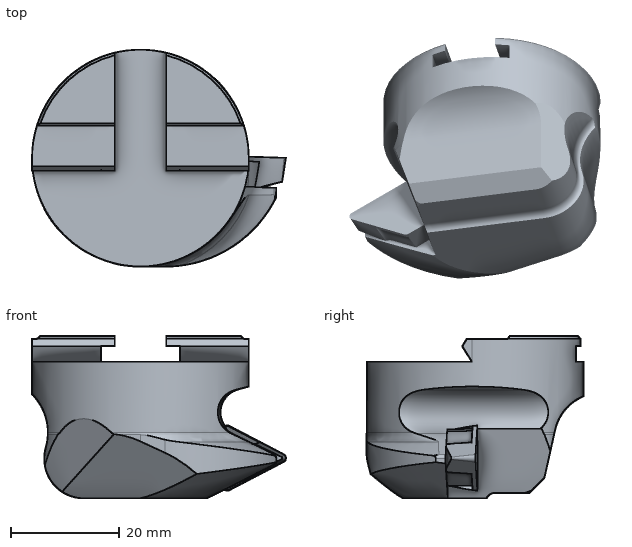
import cadquery as cq
import math

FAR = 70.3

disc_radius = 20.0
deck_z = 25.25
slab_z = 29.45
top_z = 30.0
rim_bevel = 0.45
slot_width = 9.45
slot_undercut_width = 14.55
slot_lip_z = 28.1
nose_foot_y = -0.65
nose_tip_y = -2.4
nose_tip_z = 28.05
nose_top_y = -1.55
raised_y = 6.4

flare_angle = 27.5
bottom_radius = 13.2
neck_fillet = 2.0
neck_z = 12.25
wall_radius = 20.05
fin_wall_radius = 22.85
fin_wall_start_x = 4.5

scoop_bulge_radius = 7.35
scoop_bulge_x = -10.4
scoop_hollow_radius = 10.07
scoop_turn_angle = 16.0
scoop_step = 1.0
scoop_step_y = 3.55
scoop_step_fillet = 1.5

rear_low_y = 10.07
rear_chamfer_y = 12.8
rear_chamfer_z = 3.8
rear_lean = 12.6
rear_arc_start_z = 12.65
rear_arc_radius = 8.75

FRONT_LEFT_FLAT = (-121.7, 16.9, 14.85)
FRONT_FLAT = (-106.6, 31.7, 10.82)
REAR_LEFT_FLAT = (131.5, 11.0, 16.5)

pocket_radius = 4.3
pocket_x = 18.85
pocket_z = 15.9
pocket_floor_angle = 26.4
pocket_roof_angle = 15.0
pocket_skew = 1.1
fin_end_x = 25.15
fin_nose_radius = 0.9
gullet_foot_x = 11.7

insert_tilt = 1.9
insert_tip_x = 26.85
insert_tip_y = 0.05
insert_center_x = 16.03
insert_z = 7.45
insert_half_angle = 27.5
insert_nose_radius = 0.8
insert_thickness = 5.58
insert_relief = 7.0
land_depth = 0.9
recess_depth = 1.05
recess_end = 6.5
recess_end_radius = 1.87
tip_bevel_length = 3.75
tip_bevel_depth = 1.1


def rad(angle):
    return math.radians(angle)


def polar(center, radius, angle):
    """Point at an angle in degrees on a circle in a 2D plane."""
    return (center[0] + radius * math.cos(rad(angle)), center[1] + radius * math.sin(rad(angle)))


def arc(center, radius, start, end):
    """Middle and end point of an arc between two angles, for threePointArc."""
    return polar(center, radius, (start + end) / 2), polar(center, radius, end)


def along_y(profile, start, end):
    """Extrude a wire drawn on an XZ workplane from y = start to y = end."""
    return profile.extrude(start - end).translate((0, start, 0))


def turned_blank():
    slope = math.tan(rad(flare_angle))
    fillet_center = (disc_radius + neck_fillet, neck_z)
    cone_start = polar(fillet_center, neck_fillet, 270 - flare_angle)
    rim_r = ((cone_start[1] / slope + cone_start[0]) + bottom_radius) / 2
    rim_z = slope * (rim_r - bottom_radius)
    return (
        cq.Workplane("XZ")
        .lineTo(bottom_radius, 0)
        .lineTo(rim_r, rim_z)
        .lineTo(*cone_start)
        .threePointArc(*arc(fillet_center, neck_fillet, 270 - flare_angle, 180))
        .lineTo(disc_radius, slab_z)
        .lineTo(disc_radius - rim_bevel, top_z)
        .lineTo(0, top_z)
        .close()
        .revolve(360, (0, 0, 0), (0, 1, 0))
    )


def outer_wall():
    """Upright wall that trims the flared skirt and leaves the fin standing out."""
    fin_center = (fin_wall_start_x, fin_wall_radius - wall_radius)
    return (
        cq.Workplane("XY")
        .moveTo(0, -wall_radius)
        .lineTo(fin_wall_start_x, -wall_radius)
        .threePointArc(*arc(fin_center, fin_wall_radius, -90, 0))
        .lineTo(wall_radius, 0)
        .threePointArc(*arc((0, 0), wall_radius, 0, 270))
        .close()
        .extrude(top_z)
    )


def unconed_base():
    """Straight-sided half of the skirt, away from the fin, where no lower cone is turned."""
    half = cq.Workplane("XY").rect(FAR, FAR).extrude(neck_z).translate((-FAR / 2, 0, 0))
    skirt_z = neck_z - math.sqrt(neck_fillet**2 - (disc_radius + neck_fillet - wall_radius) ** 2)
    return cq.Workplane("XY").circle(wall_radius).extrude(skirt_z).intersect(half)


def slab_front_cut():
    """Space in front of and above the slabs, without their nose."""
    return (
        cq.Workplane("YZ")
        .moveTo(-FAR, deck_z)
        .lineTo(nose_foot_y, deck_z)
        .lineTo(nose_foot_y, slab_z)
        .lineTo(raised_y - rim_bevel, slab_z)
        .lineTo(raised_y, top_z)
        .lineTo(raised_y, FAR)
        .lineTo(-FAR, FAR)
        .close()
        .extrude(FAR, both=True)
    )


def slab_nose():
    """V-shaped nose along the front of the slabs, with flat ends."""
    half_length = math.sqrt(disc_radius**2 - nose_foot_y**2)
    return (
        cq.Workplane("YZ")
        .moveTo(nose_foot_y, deck_z)
        .lineTo(nose_tip_y, nose_tip_z)
        .lineTo(nose_top_y, slab_z)
        .lineTo(nose_foot_y, slab_z)
        .close()
        .extrude(half_length, both=True)
    )


def t_slot():
    upper = cq.Workplane("XY", origin=(0, 0, deck_z)).rect(slot_width, FAR).extrude(FAR)
    lower = (
        cq.Workplane("XY", origin=(0, 0, deck_z))
        .rect(slot_undercut_width, FAR)
        .extrude(slot_lip_z - deck_z)
    )
    return upper.union(lower)


bulge_center = (scoop_bulge_x, scoop_bulge_radius)
hollow_center = polar(bulge_center, scoop_bulge_radius + scoop_hollow_radius, 180 - scoop_turn_angle)


def scoop_path(depth):
    """Open S-shaped outline of the scoop, set inwards by a depth."""
    bulge = scoop_bulge_radius - depth
    hollow = scoop_hollow_radius + depth
    return (
        cq.Workplane("XZ")
        .moveTo(*polar(hollow_center, hollow, 90))
        .threePointArc(*arc(hollow_center, hollow, 90, -scoop_turn_angle))
        .threePointArc(*arc(bulge_center, bulge, 180 - scoop_turn_angle, 270))
        .lineTo(FAR, depth)
    )


def scooped_region(depth):
    """Wire around everything kept inside the scoop outline."""
    return scoop_path(depth).lineTo(FAR, FAR).lineTo(hollow_center[0], FAR).close()


def scoop_envelope():
    fillet_drop = scoop_step_fillet - scoop_step
    fillet_width = math.sqrt(scoop_step_fillet**2 - fillet_drop**2)
    front = along_y(scooped_region(0), -FAR, scoop_step_y - fillet_width)
    envelope = front.union(along_y(scooped_region(scoop_step), -FAR, FAR))
    start_x = hollow_center[0]
    start_z = hollow_center[1] + scoop_hollow_radius
    fillet_center = (scoop_step_y, start_z - fillet_drop)
    fillet_end = 90 + math.degrees(math.acos(fillet_drop / scoop_step_fillet))
    section = (
        cq.Workplane("YZ", origin=(start_x, 0, 0))
        .moveTo(scoop_step_y, start_z + scoop_step)
        .threePointArc(*arc(fillet_center, scoop_step_fillet, 90, fillet_end))
        .lineTo(scoop_step_y - fillet_width, start_z + scoop_step)
        .close()
    )
    return envelope.union(section.sweep(scoop_path(0)))


def rear_relief():
    arc_start_y = rear_chamfer_y + (rear_arc_start_z - rear_chamfer_z) * math.tan(rad(rear_lean))
    arc_center = polar((arc_start_y, rear_arc_start_z), rear_arc_radius, -rear_lean)
    chamfer_foot_z = rear_chamfer_z - (rear_chamfer_y - rear_low_y)
    return (
        cq.Workplane("YZ")
        .moveTo(rear_low_y - chamfer_foot_z, 0)
        .lineTo(rear_chamfer_y, rear_chamfer_z)
        .lineTo(arc_start_y, rear_arc_start_z)
        .threePointArc(*arc(arc_center, rear_arc_radius, 180 - rear_lean, 90))
        .lineTo(FAR, arc_center[1] + rear_arc_radius)
        .lineTo(FAR, 0)
        .close()
        .extrude(FAR, both=True)
    )


def flat_cut(azimuth, tilt, distance):
    """Everything beyond a plane that faces outwards and down."""
    normal = cq.Vector(
        math.cos(rad(azimuth)) * math.cos(rad(tilt)),
        math.sin(rad(azimuth)) * math.cos(rad(tilt)),
        -math.sin(rad(tilt)),
    )
    plane = cq.Plane(origin=(normal * distance).toTuple(), normal=normal.toTuple())
    return cq.Workplane(plane).rect(FAR, FAR).extrude(FAR)


def chip_pocket():
    """Rounded flute above the fin, running on around the end of the fin."""
    center = (pocket_x, pocket_z)
    roof = polar(center, pocket_radius, 90 + pocket_roof_angle)
    floor = polar(center, pocket_radius, 270 - pocket_floor_angle)
    slope = math.tan(rad(pocket_floor_angle))
    corner_z = floor[1] - (fin_end_x - floor[0]) * slope
    nose_tangent = fin_nose_radius * math.tan(rad((90 - pocket_floor_angle) / 2))
    nose_start = polar((fin_end_x, corner_z), nose_tangent, 180 - pocket_floor_angle)
    nose_end_z = corner_z - nose_tangent
    nose_center = (fin_end_x - fin_nose_radius, nose_end_z)
    profile = (
        cq.Workplane("XZ")
        .moveTo(FAR, roof[1] + (FAR - roof[0]) * math.tan(rad(pocket_roof_angle)))
        .lineTo(*roof)
        .threePointArc(
            *arc(center, pocket_radius, 90 + pocket_roof_angle, 270 - pocket_floor_angle)
        )
        .lineTo(*nose_start)
        .threePointArc(*arc(nose_center, fin_nose_radius, 90 - pocket_floor_angle, 0))
        .lineTo(fin_end_x, 0)
        .lineTo(FAR, 0)
        .close()
    )
    return along_y(profile, -FAR, FAR).rotate((0, 0, 0), (0, 0, 1), -pocket_skew)


def gullet():
    """Open space on the insert side of the fin, behind the seat face."""
    pocket_point = polar((pocket_x, pocket_z), pocket_radius, 225)
    wall = (
        cq.Workplane("XZ")
        .moveTo(gullet_foot_x, 0)
        .lineTo(*pocket_point)
        .lineTo(FAR, pocket_point[1])
        .lineTo(FAR, 0)
        .close()
    )
    seat_side = cq.Workplane(insert_plane(insert_thickness)).rect(2 * FAR, 2 * FAR).extrude(-FAR)
    return along_y(wall, -FAR, FAR).intersect(seat_side)


def insert_plane(depth):
    """Plane parallel to the rake face, at a depth below it, with its normal into the insert."""
    normal = cq.Vector(-math.sin(rad(insert_tilt)), -math.cos(rad(insert_tilt)), 0)
    rise = (insert_tip_x - insert_center_x) * math.tan(rad(insert_tilt))
    origin = cq.Vector(insert_center_x, insert_tip_y + rise, insert_z) + normal * depth
    x_dir = (math.cos(rad(insert_tilt)), -math.sin(rad(insert_tilt)), 0)
    return cq.Plane(origin=origin.toTuple(), xDir=x_dir, normal=normal.toTuple())


nose_overhang = insert_nose_radius * (1 / math.sin(rad(insert_half_angle)) - 1)
insert_half_length = (insert_tip_x - insert_center_x) / math.cos(rad(insert_tilt)) + nose_overhang


def insert_blank():
    half_width = insert_half_length * math.tan(rad(insert_half_angle))
    corners = [
        (insert_half_length, 0),
        (0, half_width),
        (-insert_half_length, 0),
        (0, -half_width),
        (insert_half_length, 0),
    ]
    outline = cq.Sketch().polygon(corners).vertices().fillet(insert_nose_radius)
    rake_face = cq.Workplane(insert_plane(0)).placeSketch(outline)
    return rake_face.extrude(insert_thickness, taper=insert_relief)


def flank_recess():
    """Ground-back stretch of the upper flank below the land, with a rounded run-out."""
    edge_length = insert_half_length / math.cos(rad(insert_half_angle))
    flank = land_depth * math.tan(rad(insert_relief))
    floor = flank + recess_depth
    arc_run = math.sqrt(recess_end_radius**2 - (recess_end_radius - recess_depth) ** 2)
    arc_center = (recess_end + arc_run, floor - recess_end_radius)
    return (
        cq.Workplane(insert_plane(land_depth))
        .transformed(offset=(insert_half_length, 0, 0), rotate=(0, 0, 180 - insert_half_angle))
        .moveTo(arc_center[0], floor)
        .threePointArc(*arc(arc_center, recess_end_radius, 90, 180))
        .lineTo(edge_length, arc_center[1])
        .lineTo(edge_length, floor)
        .close()
        .extrude(insert_thickness)
    )


def tip_bevel():
    """Wedge under the tip of the insert."""
    reach = insert_half_length
    tip_x = reach - nose_overhang - insert_thickness * math.tan(rad(insert_relief))
    back = tip_x - tip_bevel_length
    slope = tip_bevel_depth / tip_bevel_length
    plane = insert_plane(insert_thickness)
    side_plane = cq.Plane(origin=plane.origin.toTuple(), xDir=plane.xDir.toTuple(), normal=(0, 0, 1))
    return (
        cq.Workplane(side_plane)
        .moveTo(back, 0)
        .lineTo(reach, (reach - back) * slope)
        .lineTo(reach, 0)
        .close()
        .extrude(FAR, both=True)
    )


def make_insert():
    insert = insert_blank().cut(tip_bevel())
    recess = flank_recess()
    return insert.cut(recess).cut(recess.mirror("XY", (0, 0, insert_z)))


def make_head(insert):
    head = turned_blank().intersect(outer_wall()).union(unconed_base())
    head = head.cut(slab_front_cut()).union(slab_nose()).cut(t_slot())
    head = head.intersect(scoop_envelope())
    head = head.cut(rear_relief())
    for flat in (FRONT_LEFT_FLAT, FRONT_FLAT, REAR_LEFT_FLAT):
        head = head.cut(flat_cut(*flat))
    head = head.cut(chip_pocket()).cut(gullet())
    return head.cut(insert)


insert = make_insert()
head = make_head(insert)
result = cq.Compound.makeCompound([*head.solids().vals(), *insert.solids().vals()])